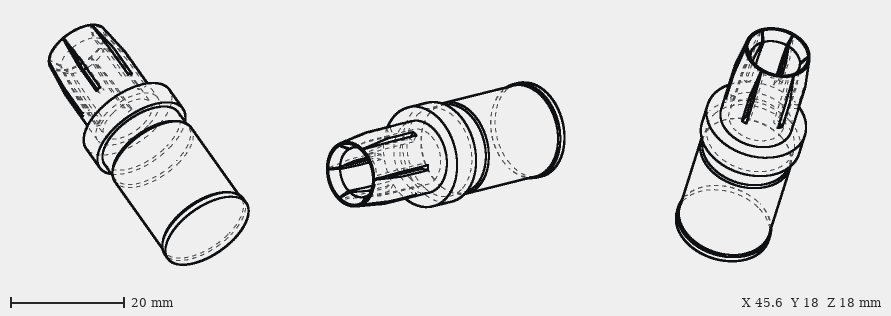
import cadquery as cq

length = 45.6
taper_end = 6.48
slot_end = 12.95
collar_start = 17.75
collar_end = 22.55
body_start = 26.15
body_chamfer_end = 26.6
body_end = 44.2
lip_start = 44.5

tip_dia = 11.6
barrel_dia = 13.0
collar_dia = 18.0
neck_dia = 15.9
body_dia = 16.5
lip_dia = 17.0

mouth_dia = 10.95
throat_dia = 8.95
throat_depth = 1.95
bore_dia = 10.0
bore_depth = collar_start

slot_width = 0.9
tip_gap = 0.1
slot_count = 6


def revolved(stations):
    """Solid of revolution about X through (position, diameter) stations."""
    first_x = stations[0][0]
    last_x = stations[-1][0]
    outline = [(x, dia / 2) for x, dia in stations]
    return (
        cq.Workplane("XY")
        .polyline([(first_x, 0)] + outline + [(last_x, 0)])
        .close()
        .revolve(360, (0, 0, 0), (1, 0, 0))
    )


def outer_form():
    return revolved([
        (0, tip_dia),
        (taper_end, barrel_dia),
        (collar_start, barrel_dia),
        (collar_start, collar_dia),
        (collar_end, collar_dia),
        (collar_end, neck_dia),
        (body_start, neck_dia),
        (body_chamfer_end, body_dia),
        (body_end, body_dia),
        (lip_start, lip_dia),
        (length, lip_dia),
    ])


def socket_bore():
    return revolved([
        (0, mouth_dia),
        (throat_depth, throat_dia),
        (taper_end, bore_dia),
        (bore_depth, bore_dia),
    ])


def spring_slot(angle):
    """Slot through one side of the barrel wall, +Y at angle 0, turned about X."""
    profile = [
        (0, -tip_gap / 2),
        (taper_end, -slot_width / 2),
        (slot_end, -slot_width / 2),
        (slot_end, slot_width / 2),
        (taper_end, slot_width / 2),
        (0, tip_gap / 2),
    ]
    slot = cq.Workplane("XZ").polyline(profile).close().extrude(-barrel_dia)
    return slot.rotate((0, 0, 0), (1, 0, 0), angle)


result = outer_form().cut(socket_bore())
for index in range(slot_count):
    result = result.cut(spring_slot(index * 360 / slot_count))